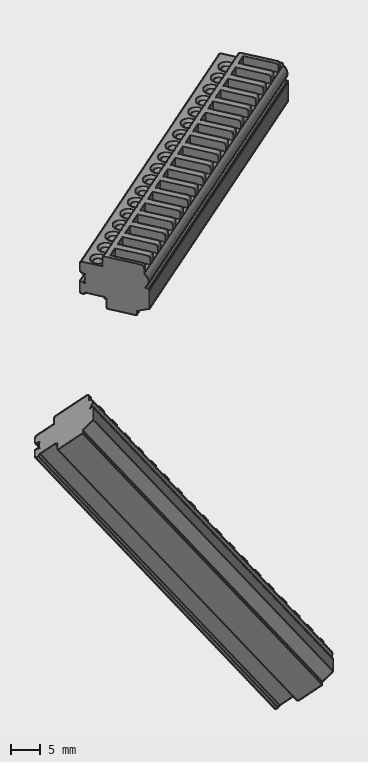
import cadquery as cq


width = 12.5
height = 10.6
pole_count = 18
pole_pitch = 3.5
end_margin = 1.5
body_length = pole_count * pole_pitch + end_margin

ledge_top = 8.5
ledge_round = 0.55
ledge_bottom = 2.3
notch_depth = 0.95
notch_top = 6.1
notch_chamfer = 0.5
notch_bottom = 4.4
lip_groove_width = 0.3
lip_groove_depth = 0.2
hook_bottom = 1.95
hook_width = 1.1
hook_round = 0.5
hook_chamfer = ledge_bottom - hook_bottom

block_left = 4.1
block_right = 11.55
block_left_round = 0.38
block_right_round = 0.6
end_step_length = 1.4
end_step_depth = 1.2
end_step_round = 0.4

bead_top = 8.85
bead_crest_x = 12.35
bead_crest_z = 7.55
bead_root_x = 11.75
bead_root_z = 6.1
wall_top = 5.95
wall_top_chamfer = 0.2
slope_top = 1.9
slope_bottom = 0.9

foot_left = 4.8
foot_right = 10.2
foot_round = 0.35
collar_left = 4.45
collar_bottom = 2.0

first_pole_y = pole_pitch / 2
screw_x = 2.65
screw_top_diameter = 2.75
screw_floor_diameter = 1.7
screw_depth = 0.5
slot_left = 5.25
slot_width = 2.2
slot_depth = height - bead_top


def add_rounded_top(outline, top, right_round, left_round):
    """Carry an outline from the high-X wall of the upper block over its rounded top."""
    return (
        outline.lineTo(block_right, top - right_round)
        .radiusArc((block_right - right_round, top), -right_round)
        .lineTo(block_left + left_round, top)
        .radiusArc((block_left, top - left_round), -left_round)
    )


def add_ledge_and_hook(outline):
    """Carry an outline from the upper block down the low-X side to the collar."""
    return (
        outline.lineTo(block_left, ledge_top)
        .lineTo(ledge_round, ledge_top)
        .radiusArc((0, ledge_top - ledge_round), -ledge_round)
        .lineTo(0, notch_top + notch_chamfer)
        .lineTo(notch_chamfer, notch_top)
        .lineTo(notch_depth, notch_top)
        .lineTo(notch_depth, notch_bottom - lip_groove_depth)
        .lineTo(notch_depth - lip_groove_width, notch_bottom)
        .lineTo(0, notch_bottom)
        .lineTo(0, hook_bottom + hook_round)
        .radiusArc((hook_round, hook_bottom), -hook_round)
        .lineTo(hook_width - hook_chamfer, hook_bottom)
        .lineTo(hook_width, ledge_bottom)
        .lineTo(collar_left, ledge_bottom)
    )


def make_body():
    """Full-length extrusion of the profile, drawn counter-clockwise from the foot."""
    outline = (
        cq.Workplane("XZ")
        .moveTo(foot_left + foot_round, 0)
        .lineTo(foot_right, 0)
        .lineTo(foot_right, slope_bottom)
        .lineTo(width, slope_top)
        .lineTo(width, wall_top - wall_top_chamfer)
        .lineTo(width - wall_top_chamfer, wall_top)
        .lineTo(bead_root_x, bead_root_z)
        .threePointArc((bead_crest_x, bead_crest_z), (block_right, bead_top))
    )
    outline = add_rounded_top(outline, height, block_right_round, block_left_round)
    outline = add_ledge_and_hook(outline)
    outline = (
        outline.lineTo(collar_left, collar_bottom)
        .lineTo(foot_left, collar_bottom)
        .lineTo(foot_left, foot_round)
        .radiusArc((foot_left + foot_round, 0), -foot_round)
        .close()
    )
    return outline.extrude(-body_length)


def make_end_step_cut():
    """Volume removed to lower the upper block at the high-Y end."""
    step_top = height - end_step_depth
    step_start = (0, body_length - end_step_length, 0)
    outline = (
        cq.Workplane("XZ", origin=step_start)
        .moveTo(block_left, height)
        .lineTo(block_right, height)
    )
    outline = add_rounded_top(outline, step_top, end_step_round, end_step_round)
    return outline.close().extrude(-end_step_length)


def make_screw_countersink(pole_y):
    """Flat-bottomed conical recess in the ledge."""
    floor_center = cq.Vector(screw_x, pole_y, ledge_top - screw_depth)
    cone = cq.Solid.makeCone(
        screw_floor_diameter / 2, screw_top_diameter / 2, screw_depth, floor_center
    )
    return cq.Workplane(cone)


def make_slot(pole_y):
    """Slot across the upper block, open at the top and at the high-X side."""
    slot = cq.Workplane().box(
        width - slot_left, slot_width, slot_depth, centered=(False, True, False)
    )
    return slot.translate((slot_left, pole_y, height - slot_depth))


body = make_body().cut(make_end_step_cut())
for pole in range(pole_count):
    pole_y = first_pole_y + pole * pole_pitch
    body = body.cut(make_screw_countersink(pole_y))
    body = body.cut(make_slot(pole_y))

result = body